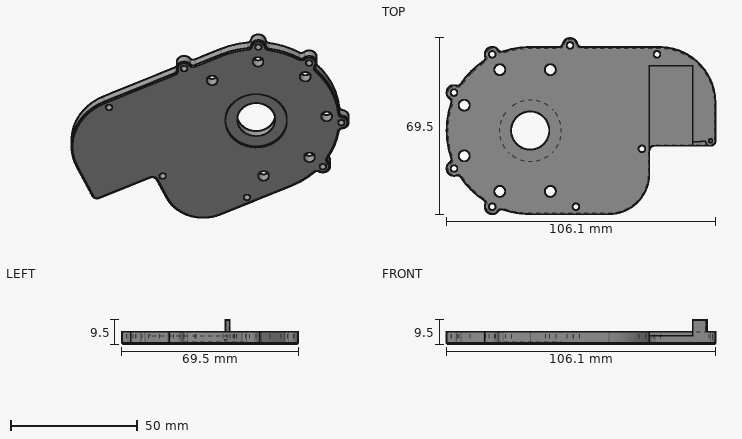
import cadquery as cq
import math

plate_thickness = 5.0
plate_radius = 33.0
body_right = 47.0
body_corner_radius = 16.0
arm_right = 73.1
arm_bottom = -6.0
arm_corner_radius = 22.3
arm_tip_radius = 2.1
inner_corner_radius = 2.0
bottom_chamfer = 0.5

ear_radius = 3.0
ear_blend_radius = 1.5
ear_near = 15.0
ear_far = 30.0
top_ear = (15.7, 33.5)
rim_ears = [
    (-ear_near, ear_far),
    (-ear_far, ear_near),
    (-ear_far, -ear_near),
    (-ear_near, -ear_far),
]
ears = rim_ears + [top_ear]

bore_diameter = 15.0
bore_recess_diameter = 24.3
bore_recess_depth = 1.0
mount_diameter = 4.2
mount_row = 24.0
mount_side = 10.0
mount_holes = [
    (x, side * y)
    for x, y in [(-12.0, mount_row), (8.0, mount_row), (-26.0, mount_side)]
    for side in (1, -1)
]
screw_diameter = 2.5
inner_screw_holes = [(50.0, ear_far), (44.0, -7.2), (18.0, -ear_far)]
pin_diameter = 1.5
pin_depth = 3.0
drill_point_angle = 118
pin_edge_distance = 2.0
pin_position = (arm_right - pin_edge_distance, arm_bottom + pin_edge_distance)

pocket_right = 64.0
pocket_top = 25.6
pocket_depth = 1.6

stop_height = 9.5
stop_length = 5.7
stop_thickness = 1.6
stop_end_thickness = 1.8
stop_end_slant = 0.6
stop_corner_length = 0.3
stop_corner_width = 0.4


def make_outline():
    """Plate without ears: round left end, lower body and right arm."""
    return (
        cq.Workplane("XY")
        .moveTo(0, plate_radius)
        .threePointArc((-plate_radius, 0), (0, -plate_radius))
        .lineTo(body_right, -plate_radius)
        .lineTo(body_right, arm_bottom)
        .lineTo(arm_right, arm_bottom)
        .lineTo(arm_right, plate_radius)
        .close()
        .extrude(plate_thickness)
    )


def round_upright_edge(solid, x, y, radius):
    """Fillet the vertical edge that stands at (x, y)."""
    corner = cq.selectors.NearestToPointSelector((x, y, plate_thickness / 2))
    return solid.edges("|Z").edges(corner).fillet(radius)


def add_ears(solid):
    """Join each ear to the plate and blend the two hollow corners beside it."""
    discs = cq.Workplane("XY").pushPoints(ears).circle(ear_radius).extrude(plate_thickness)
    solid = solid.union(discs)
    for x, y in ears:
        around_ear = cq.selectors.BoxSelector(
            (x - 2 * ear_radius, y - 2 * ear_radius, 0),
            (x + 2 * ear_radius, y + 2 * ear_radius, plate_thickness),
        )
        solid = solid.edges("|Z").edges(around_ear).fillet(ear_blend_radius)
    return solid


def through_holes(positions, diameter):
    return cq.Workplane("XY").pushPoints(positions).circle(diameter / 2).extrude(plate_thickness)


def make_bore_recess():
    return cq.Workplane("XY").circle(bore_recess_diameter / 2).extrude(bore_recess_depth)


def make_pin_hole():
    """Blind drilled hole with a conical bottom, revolved about its own axis."""
    pin_radius = pin_diameter / 2
    cone_depth = pin_radius / math.tan(math.radians(drill_point_angle / 2))
    return (
        cq.Workplane("XZ")
        .polyline([(0, 0), (pin_radius, 0), (pin_radius, -pin_depth), (0, -pin_depth - cone_depth)])
        .close()
        .revolve(360, (0, 0), (0, 1))
        .translate((*pin_position, plate_thickness))
    )


def make_pocket():
    """Pocket volume; it also runs over the rounded corner below the arm."""
    pocket_bottom = arm_bottom - inner_corner_radius
    return cq.Workplane("XY").box(
        pocket_right - body_right,
        pocket_top - pocket_bottom,
        pocket_depth,
        centered=False,
    ).translate((body_right, pocket_bottom, plate_thickness - pocket_depth))


def make_stop():
    """Upright tab on the lower arm edge, slightly thicker at its slanted end."""
    stop_right = pocket_right + stop_length
    return (
        cq.Workplane("XY")
        .moveTo(pocket_right, arm_bottom)
        .lineTo(stop_right - stop_corner_length, arm_bottom)
        .lineTo(stop_right, arm_bottom + stop_corner_width)
        .lineTo(stop_right - stop_end_slant, arm_bottom + stop_end_thickness)
        .lineTo(pocket_right, arm_bottom + stop_thickness)
        .close()
        .extrude(stop_height - plate_thickness)
        .translate((0, 0, plate_thickness))
    )


plate = make_outline()
plate = round_upright_edge(plate, body_right, -plate_radius, body_corner_radius)
plate = round_upright_edge(plate, body_right, arm_bottom, inner_corner_radius)
plate = round_upright_edge(plate, arm_right, arm_bottom, arm_tip_radius)
plate = round_upright_edge(plate, arm_right, plate_radius, arm_corner_radius)
plate = add_ears(plate)
plate = plate.faces("<Z").edges().chamfer(bottom_chamfer)

result = (
    plate
    .cut(through_holes([(0, 0)], bore_diameter))
    .cut(make_bore_recess())
    .cut(through_holes(mount_holes, mount_diameter))
    .cut(through_holes(ears + inner_screw_holes, screw_diameter))
    .cut(make_pin_hole())
    .cut(make_pocket())
    .union(make_stop())
)